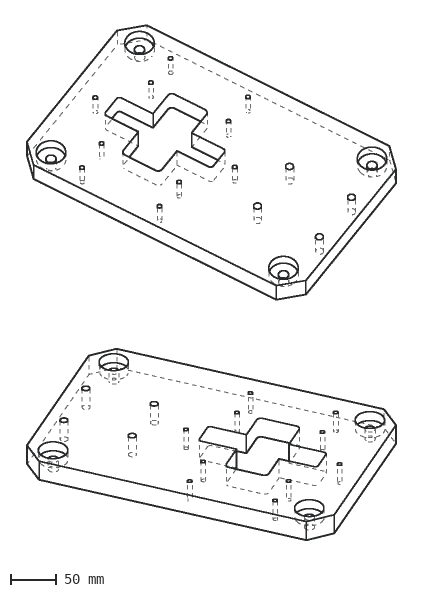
import cadquery as cq

length = 360.0
width = 230.0
thickness = 25.0
corner_chamfer = 23.5

mount_spacing_x = length * 5 / 6
mount_spacing_y = 180.0
mount_hole_diameter = 11.0
counterbore_diameter = 32.0
counterbore_depth = 12.0

window_x = -length / 6
window_long_x = 139.0
window_short_y = 29.5
window_short_x = 49.5
window_long_y = 100.0
window_corner_radius = 5.0
window_end_radius = 3.5

small_hole_diameter = 5.0
small_spacing_x = 100.0
small_inner_spacing_y = 100.0
small_outer_spacing_y = 180.0
small_axis_spacing_x = 180.0

group_x = length / 3
group_spacing_x = 80.0
group_spacing_y = 65.0
group_hole_diameter = 8.5


def window_arm(size_x, size_y, radius):
    """Through-cutting rectangular bar with rounded upright edges."""
    return (
        cq.Workplane("XY")
        .center(window_x, 0)
        .rect(size_x, size_y)
        .extrude(thickness)
        .edges("|Z")
        .fillet(radius)
    )


def rectangle_points(centre_x, spacing_x, spacing_y):
    """Four corner points of a rectangle centred on the X axis."""
    return [
        (centre_x + side_x * spacing_x / 2, side_y * spacing_y / 2)
        for side_x in (-1, 1)
        for side_y in (-1, 1)
    ]


def top_face(body):
    """Workplane on the top of the plate, above the origin."""
    return body.faces(">Z").workplane(origin=(0, 0, thickness))


plate = (
    cq.Workplane("XY")
    .rect(length, width)
    .extrude(thickness)
    .edges("|Z")
    .chamfer(corner_chamfer)
)

plate = plate.cut(window_arm(window_long_x, window_short_y, window_end_radius))
plate = plate.cut(window_arm(window_short_x, window_long_y, window_corner_radius))

plate = (
    top_face(plate)
    .pushPoints(rectangle_points(0, mount_spacing_x, mount_spacing_y))
    .cboreHole(mount_hole_diameter, counterbore_diameter, counterbore_depth)
)

small_hole_points = [
    (window_x - small_axis_spacing_x / 2, 0),
    (window_x + small_axis_spacing_x / 2, 0),
]
for spacing_y in (small_inner_spacing_y, small_outer_spacing_y):
    small_hole_points += rectangle_points(window_x, small_spacing_x, spacing_y)
plate = top_face(plate).pushPoints(small_hole_points).hole(small_hole_diameter)

group_points = rectangle_points(group_x, group_spacing_x, group_spacing_y)
plate = top_face(plate).pushPoints(group_points).hole(group_hole_diameter)

result = plate